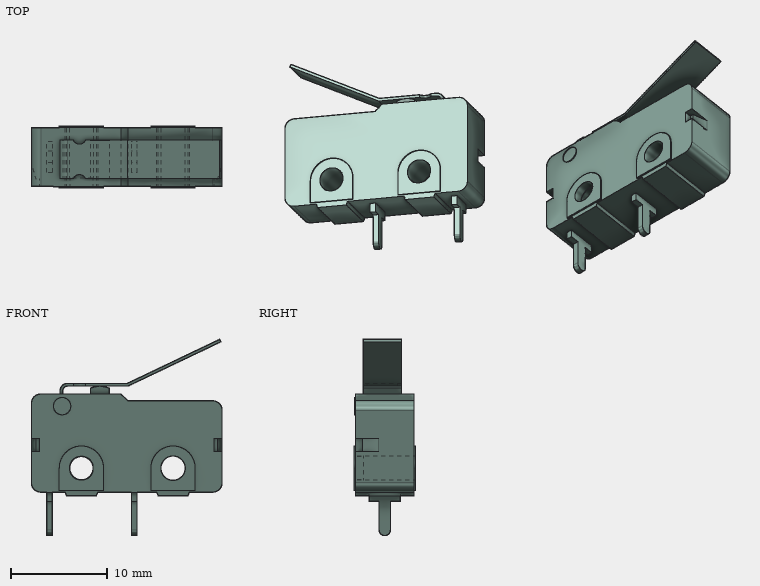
import cadquery as cq
import math

BODY_LENGTH = 19.8
BODY_WIDTH = 6.1
BODY_HEIGHT = 10.2
LOW_TOP_HEIGHT = 9.5
CORNER_RADIUS = 1.0
RAMP_START_X = -0.62
RAMP_END_X = 0.13

HOLE_PITCH = 9.5
LEFT_HOLE_X = -4.7
RIGHT_HOLE_X = LEFT_HOLE_X + HOLE_PITCH
HOLE_Z = 2.5
NARROW_HOLE_DIAMETER = 2.4
WIDE_HOLE_DIAMETER = 2.5
HOLE_MOUTH_DEPTH = 1.0
PAD_RADIUS = 2.3
PAD_BOTTOM_Z = 0.17
OVERALL_WIDTH = 6.4

FOOT_TOP_LENGTH = 3.4
FOOT_BOTTOM_LENGTH = 3.1
FOOT_HEIGHT = 0.38

NOTCH_BOTTOM_Z = 4.25
NOTCH_TOP_Z = 5.6
NOTCH_DEPTH = 0.86
NOTCH_STEP_DEPTH = 0.48
NOTCH_STEP_WIDTH = 0.76
NOTCH_WIDTH = 2.41

DISC_DIAMETER = 1.8
DISC_X = -6.7
DISC_Z = 8.93
DISC_HEIGHT = 0.08

TERMINAL_XS = (-8.02, 0.78)
TERMINAL_THICKNESS = 0.6
TERMINAL_BOTTOM_Z = -4.5
SHOULDER_WIDTH = 3.24
SHOULDER_BOTTOM_Z = -0.95
PIN_WIDTH = 1.2

PLUNGER_LEFT_X = -3.77
PLUNGER_RIGHT_X = -1.81
PLUNGER_WIDTH = 3.94
PLUNGER_SHOULDER_Z = 10.8

LEVER_WIDTH = 4.0
LEVER_Y = -0.25
LEVER_THICKNESS = 0.3
LEVER_TOP_Z = 11.3
LEVER_LEFT_X = -6.93
HOOK_RADIUS = 0.8
BEND_X = 0.055
TIP_X = 9.64
TIP_Z = 15.87
RELIEF_X = -4.91
RELIEF_RADIUS = 0.68
RELIEF_DEPTH = 0.42

EMBED = 0.5

HALF_LENGTH = BODY_LENGTH / 2
FRONT_Y = -BODY_WIDTH / 2
LEVER_UNDERSIDE_Z = LEVER_TOP_Z - LEVER_THICKNESS


def extrude_along_y(profile, width, centre_y=0):
    """Extrude an XZ profile by the given width, centred on centre_y."""
    return profile.extrude(width / 2, both=True).translate((0, centre_y, 0))


def make_housing():
    """Rounded block whose top steps down over a short ramp."""
    profile = (
        cq.Workplane("XZ")
        .moveTo(-HALF_LENGTH, 0)
        .lineTo(HALF_LENGTH, 0)
        .lineTo(HALF_LENGTH, LOW_TOP_HEIGHT)
        .lineTo(RAMP_END_X, LOW_TOP_HEIGHT)
        .lineTo(RAMP_START_X, BODY_HEIGHT)
        .lineTo(-HALF_LENGTH, BODY_HEIGHT)
        .close()
    )
    block = extrude_along_y(profile, BODY_WIDTH)
    return block.edges("|Y and (<X or >X)").fillet(CORNER_RADIUS)


def make_pad(hole_x):
    """Arch-topped pad standing proud of both the front and the back face."""
    profile = (
        cq.Workplane("XZ")
        .moveTo(hole_x - PAD_RADIUS, PAD_BOTTOM_Z)
        .lineTo(hole_x + PAD_RADIUS, PAD_BOTTOM_Z)
        .lineTo(hole_x + PAD_RADIUS, HOLE_Z)
        .threePointArc((hole_x, HOLE_Z + PAD_RADIUS), (hole_x - PAD_RADIUS, HOLE_Z))
        .close()
    )
    return extrude_along_y(profile, OVERALL_WIDTH)


def make_foot(hole_x):
    """Tapered standoff across the full housing width."""
    profile = cq.Workplane("XZ").polyline([
        (hole_x - FOOT_TOP_LENGTH / 2, 0),
        (hole_x - FOOT_BOTTOM_LENGTH / 2, -FOOT_HEIGHT),
        (hole_x + FOOT_BOTTOM_LENGTH / 2, -FOOT_HEIGHT),
        (hole_x + FOOT_TOP_LENGTH / 2, 0),
    ]).close()
    return extrude_along_y(profile, BODY_WIDTH)


def make_hole(hole_x, mouth_diameter):
    """Cutter for a hole through both pads: wide, with its own diameter at the front mouth."""
    front = cq.Workplane("XZ", origin=(hole_x, -OVERALL_WIDTH / 2, HOLE_Z))
    mouth = front.circle(mouth_diameter / 2).extrude(-HOLE_MOUTH_DEPTH)
    bore = (
        front.workplane(offset=-HOLE_MOUTH_DEPTH)
        .circle(WIDE_HOLE_DIAMETER / 2)
        .extrude(HOLE_MOUTH_DEPTH - OVERALL_WIDTH)
    )
    return mouth.union(bore)


def make_left_notch():
    """Cutter for the left end: a square front step followed by a tapering ramp."""
    step_y = FRONT_Y + NOTCH_STEP_WIDTH
    return (
        cq.Workplane("XY")
        .workplane(offset=NOTCH_BOTTOM_Z)
        .polyline([
            (-HALF_LENGTH, FRONT_Y),
            (-HALF_LENGTH + NOTCH_DEPTH, FRONT_Y),
            (-HALF_LENGTH + NOTCH_DEPTH, step_y),
            (-HALF_LENGTH + NOTCH_STEP_DEPTH, step_y),
            (-HALF_LENGTH, FRONT_Y + NOTCH_WIDTH),
        ])
        .close()
        .extrude(NOTCH_TOP_Z - NOTCH_BOTTOM_Z)
    )


def make_disc():
    """Thin raised disc on the front face."""
    return (
        cq.Workplane("XZ", origin=(DISC_X, FRONT_Y, DISC_Z))
        .circle(DISC_DIAMETER / 2)
        .extrude(DISC_HEIGHT)
    )


def make_terminal(terminal_x):
    """Flat blade with a wide shoulder and a round-ended pin."""
    pin_half = PIN_WIDTH / 2
    shoulder_half = SHOULDER_WIDTH / 2
    pin_round_z = TERMINAL_BOTTOM_Z + pin_half
    return (
        cq.Workplane("YZ", origin=(terminal_x, 0, 0))
        .moveTo(-shoulder_half, EMBED)
        .lineTo(-shoulder_half, SHOULDER_BOTTOM_Z)
        .lineTo(-pin_half, SHOULDER_BOTTOM_Z)
        .lineTo(-pin_half, pin_round_z)
        .threePointArc((0, TERMINAL_BOTTOM_Z), (pin_half, pin_round_z))
        .lineTo(pin_half, SHOULDER_BOTTOM_Z)
        .lineTo(shoulder_half, SHOULDER_BOTTOM_Z)
        .lineTo(shoulder_half, EMBED)
        .close()
        .extrude(TERMINAL_THICKNESS / 2, both=True)
    )


def make_plunger():
    """Button with a crowned top that touches the underside of the lever."""
    crown_x = (PLUNGER_LEFT_X + PLUNGER_RIGHT_X) / 2
    profile = (
        cq.Workplane("XZ")
        .moveTo(PLUNGER_LEFT_X, BODY_HEIGHT - EMBED)
        .lineTo(PLUNGER_RIGHT_X, BODY_HEIGHT - EMBED)
        .lineTo(PLUNGER_RIGHT_X, PLUNGER_SHOULDER_Z)
        .threePointArc((crown_x, LEVER_UNDERSIDE_Z), (PLUNGER_LEFT_X, PLUNGER_SHOULDER_Z))
        .close()
    )
    return extrude_along_y(profile, PLUNGER_WIDTH, LEVER_Y)


def make_lever():
    """Bent strip: hooked into the housing on the left, rising to a free tip on the right."""
    angle = math.atan2(TIP_Z - LEVER_TOP_Z, TIP_X - BEND_X)
    tip_bottom_x = TIP_X + LEVER_THICKNESS * math.sin(angle)
    tip_bottom_z = TIP_Z - LEVER_THICKNESS * math.cos(angle)
    bend_bottom_x = BEND_X + LEVER_THICKNESS * math.tan(angle / 2)
    root_z = BODY_HEIGHT - EMBED
    hook_x = LEVER_LEFT_X + HOOK_RADIUS
    hook_z = LEVER_TOP_Z - HOOK_RADIUS
    inner_radius = HOOK_RADIUS - LEVER_THICKNESS
    diagonal = math.sqrt(0.5)
    profile = (
        cq.Workplane("XZ")
        .moveTo(LEVER_LEFT_X, root_z)
        .lineTo(LEVER_LEFT_X, hook_z)
        .threePointArc(
            (hook_x - HOOK_RADIUS * diagonal, hook_z + HOOK_RADIUS * diagonal),
            (hook_x, LEVER_TOP_Z),
        )
        .lineTo(BEND_X, LEVER_TOP_Z)
        .lineTo(TIP_X, TIP_Z)
        .lineTo(tip_bottom_x, tip_bottom_z)
        .lineTo(bend_bottom_x, LEVER_UNDERSIDE_Z)
        .lineTo(hook_x, LEVER_UNDERSIDE_Z)
        .threePointArc(
            (hook_x - inner_radius * diagonal, hook_z + inner_radius * diagonal),
            (hook_x - inner_radius, hook_z),
        )
        .lineTo(hook_x - inner_radius, root_z)
        .close()
    )
    lever = extrude_along_y(profile, LEVER_WIDTH, LEVER_Y)
    relief_offset = LEVER_WIDTH / 2 + RELIEF_RADIUS - RELIEF_DEPTH
    reliefs = (
        cq.Workplane("XY", origin=(RELIEF_X, LEVER_Y, LEVER_UNDERSIDE_Z))
        .pushPoints([(0, -relief_offset), (0, relief_offset)])
        .circle(RELIEF_RADIUS)
        .extrude(LEVER_THICKNESS)
    )
    return lever.cut(reliefs)


result = make_housing()
left_notch = make_left_notch()
result = result.cut(left_notch).cut(left_notch.mirror("YZ"))

holes = (
    (LEFT_HOLE_X, NARROW_HOLE_DIAMETER),
    (RIGHT_HOLE_X, WIDE_HOLE_DIAMETER),
)
for hole_x, mouth_diameter in holes:
    result = result.union(make_pad(hole_x)).union(make_foot(hole_x))
    result = result.cut(make_hole(hole_x, mouth_diameter))

for terminal_x in TERMINAL_XS:
    result = result.union(make_terminal(terminal_x))

result = result.union(make_disc()).union(make_plunger()).union(make_lever())